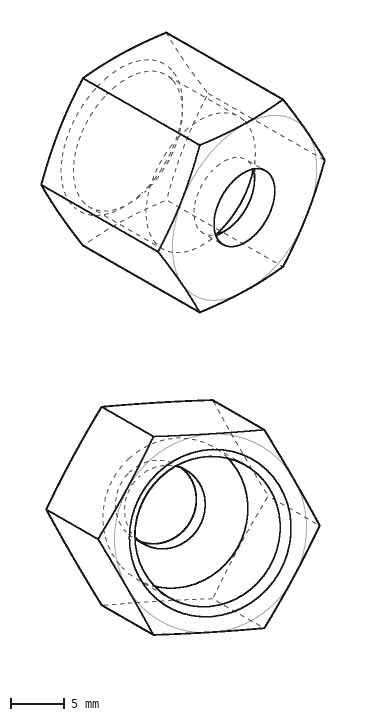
import cadquery as cq
import math

across_corners = 21.95
across_flats = across_corners * math.cos(math.radians(30))
length = 16.5
corner_chamfer_angle = 15.0

mouth_diameter = 16.0
thread_diameter = 14.37
outlet_diameter = 8.0
mouth_chamfer_angle = 45.0
cone_half_angle = 45.0
outlet_length = 2.72


def revolve_about_x(points):
    """Revolve a closed (x, radius) outline about the X axis."""
    return cq.Workplane("XY").polyline(points).close().revolve(360, (0, 0), (1, 0))


def hexagonal_body():
    """Hexagonal bar with corners on +Y and -Y."""
    return cq.Workplane("YZ").polygon(6, across_corners).extrude(length)


def corner_chamfer_envelope():
    """Double-ended cone that trims the hexagon corners at both faces."""
    corner_radius = across_corners / 2
    face_radius = across_flats / 2
    depth = (corner_radius - face_radius) * math.tan(math.radians(corner_chamfer_angle))
    return revolve_about_x([
        (0, 0),
        (0, face_radius),
        (depth, corner_radius),
        (length - depth, corner_radius),
        (length, face_radius),
        (length, 0),
    ])


def bore():
    """Chamfered mouth, thread bore, conical seat and outlet hole."""
    mouth_radius = mouth_diameter / 2
    thread_radius = thread_diameter / 2
    outlet_radius = outlet_diameter / 2
    mouth_depth = (mouth_radius - thread_radius) / math.tan(math.radians(mouth_chamfer_angle))
    cone_length = (thread_radius - outlet_radius) / math.tan(math.radians(cone_half_angle))
    cone_end = length - outlet_length
    return revolve_about_x([
        (0, 0),
        (0, mouth_radius),
        (mouth_depth, thread_radius),
        (cone_end - cone_length, thread_radius),
        (cone_end, outlet_radius),
        (length, outlet_radius),
        (length, 0),
    ])


result = hexagonal_body().intersect(corner_chamfer_envelope()).cut(bore())